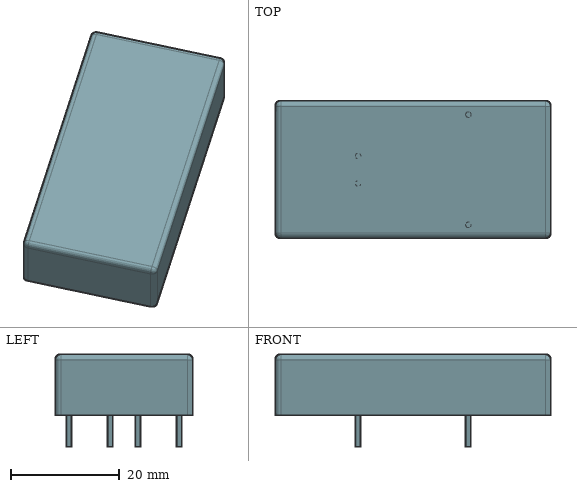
import cadquery as cq

length = 50.8
width = 25.4
overall_height = 17.05
pin_length = 5.8
case_height = overall_height - pin_length
edge_radius = 1.0

pin_diameter = 1.0
pin_row_x = 10.15
wide_pair_y = 10.15
narrow_pair_y = 2.55


def make_case():
    """Block standing on Z = 0, rounded on all edges except around its base."""
    block = cq.Workplane("XY").box(length, width, case_height, centered=(True, True, False))
    return block.edges("|Z or >Z").fillet(edge_radius)


def make_pins():
    """Round pins hanging below the base of the case."""
    positions = []
    for side in (-1, 1):
        positions.append((pin_row_x, side * wide_pair_y))
        positions.append((-pin_row_x, side * narrow_pair_y))
    return cq.Workplane("XY").pushPoints(positions).circle(pin_diameter / 2).extrude(-pin_length)


result = make_case().union(make_pins())